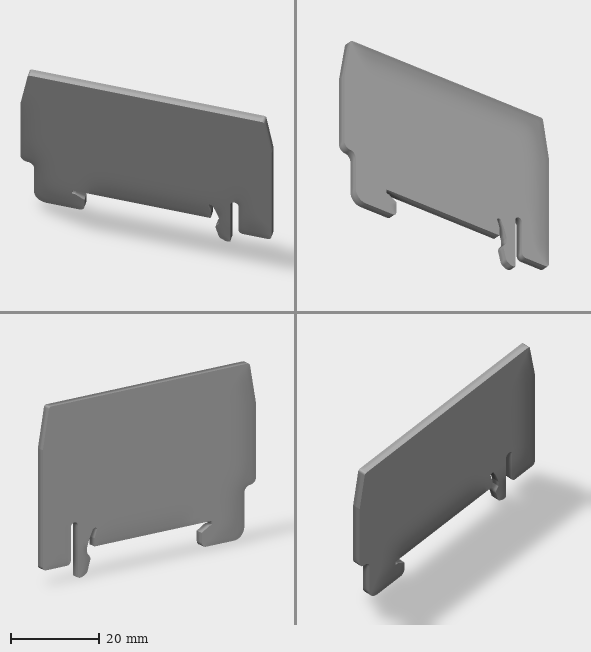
import cadquery as cq
import math

width = 59.0
height = 42.4
thickness = 2.0

shoulder_drop = 10.05
shoulder_inset = 1.75
top_corner_radius = 0.6

step_top_z = 15.0
step_bottom_z = 11.7
leg_x = 3.25
leg_bottom_z = 0.8
leg_corner_radius = 2.9

hook_x = 15.05
hook_tip_z = 4.35
hook_toe_radius = 1.2
hook_ledge_x = 12.85
hook_ledge_z = 5.8
hook_ledge_fall = 0.1
notch_x = 12.1
rail_seat_z = 6.7

seat_end_x = 44.7
relief_bend_z = 8.7
relief_left = (44.1, 10.8)
relief_top = (44.5, 11.15)
relief_right = (45.25, 10.75)
relief_middle = (46.2, 8.7)
relief_waist = (46.8, 6.8)

latch_waist_end = (46.7, 5.5)
latch_nose_top = (46.1, 4.65)
latch_nose_middle = (45.9, 4.3)
latch_nose_end = (45.9, 3.8)
latch_shank_end = (46.6, 1.3)
latch_toe_middle = (46.85, 0.8)
latch_toe_end = (47.25, 0.55)
latch_tip_start = (48.0, 0.1)
latch_tip = (48.6, 0)
latch_heel_z = 0.2

slot_left_x = 49.3
slot_width = 1.95
slot_top_z = 13.5
slot_radius = slot_width / 2
slot_right_x = slot_left_x + slot_width
foot_z = 3.55
foot_inner_radius = 1.05
foot_outer_radius = 0.9

RIGHT, UP, DOWN = (1, 0), (0, 1), (0, -1)


def round_corner(profile, corner, entry, leave, radius):
    """Trace a quarter arc at a square corner, between unit directions entry and leave."""
    corner_x, corner_z = corner
    start = (corner_x - radius * entry[0], corner_z - radius * entry[1])
    end = (corner_x + radius * leave[0], corner_z + radius * leave[1])
    inset = radius * (1 - math.sqrt(0.5))
    middle = (
        corner_x + inset * (leave[0] - entry[0]),
        corner_z + inset * (leave[1] - entry[1]),
    )
    return profile.lineTo(*start).threePointArc(middle, end)


def trace_step(profile):
    """Trace two equal tangent arcs, vertical at both ends, from the plate edge to the leg."""
    step_drop = step_top_z - step_bottom_z
    radius = (leg_x**2 + step_drop**2) / (4 * leg_x)
    half_sweep = math.asin(step_drop / (2 * radius)) / 2
    across = radius * (1 - math.cos(half_sweep))
    along = radius * math.sin(half_sweep)
    joint = (leg_x / 2, (step_top_z + step_bottom_z) / 2)
    return (
        profile.lineTo(0, step_top_z)
        .threePointArc((across, step_top_z - along), joint)
        .threePointArc((leg_x - across, step_bottom_z + along), (leg_x, step_bottom_z))
    )


def trace_left_leg(profile):
    """Trace the stepped outer edge, the rounded foot and the hook."""
    profile = trace_step(profile)
    profile = round_corner(profile, (leg_x, leg_bottom_z), DOWN, RIGHT, leg_corner_radius)
    profile = round_corner(profile, (hook_x, leg_bottom_z), RIGHT, UP, hook_toe_radius)
    return (
        profile.lineTo(hook_x, hook_tip_z)
        .lineTo(hook_ledge_x, hook_ledge_z - hook_ledge_fall)
        .lineTo(notch_x, hook_ledge_z)
        .lineTo(notch_x, rail_seat_z)
    )


def trace_latch(profile):
    """Trace the rail seat, the curved relief and the spring latch."""
    return (
        profile.lineTo(seat_end_x, rail_seat_z)
        .lineTo(seat_end_x, relief_bend_z)
        .lineTo(*relief_left)
        .threePointArc(relief_top, relief_right)
        .threePointArc(relief_middle, relief_waist)
        .lineTo(*latch_waist_end)
        .lineTo(*latch_nose_top)
        .threePointArc(latch_nose_middle, latch_nose_end)
        .lineTo(*latch_shank_end)
        .threePointArc(latch_toe_middle, latch_toe_end)
        .lineTo(*latch_tip_start)
        .threePointArc(latch_tip, (slot_left_x, latch_heel_z))
    )


def trace_right_foot(profile):
    """Trace the round-ended slot and the right foot."""
    slot_center_z = slot_top_z - slot_radius
    profile = (
        profile.lineTo(slot_left_x, slot_center_z)
        .threePointArc((slot_left_x + slot_radius, slot_top_z), (slot_right_x, slot_center_z))
    )
    profile = round_corner(profile, (slot_right_x, foot_z), DOWN, RIGHT, foot_inner_radius)
    return round_corner(profile, (width, foot_z), RIGHT, UP, foot_outer_radius)


shoulder_z = height - shoulder_drop
outline = cq.Workplane("XZ").moveTo(0, shoulder_z)
outline = trace_left_leg(outline)
outline = trace_latch(outline)
outline = trace_right_foot(outline)
outline = (
    outline.lineTo(width, shoulder_z)
    .lineTo(width - shoulder_inset, height)
    .lineTo(shoulder_inset, height)
    .close()
)

plate = outline.extrude(thickness)
result = plate.edges("|Y").edges(">Z").fillet(top_corner_radius)